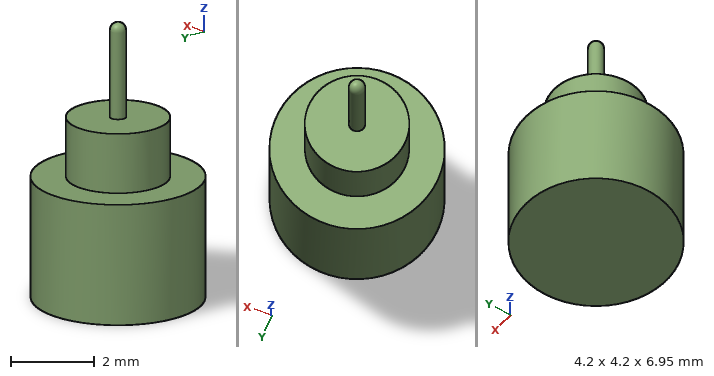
import cadquery as cq

total_height = 6.95
base_diameter = 4.2
base_height = 3.05
neck_diameter = 2.5
neck_height = 1.5
pin_diameter = 0.395

neck_top = base_height + neck_height
pin_radius = pin_diameter / 2
pin_straight_top = total_height - pin_radius


def cylinder(diameter, bottom, top):
    """Upright cylinder on the Z axis between two heights."""
    return cq.Workplane("XY").workplane(offset=bottom).circle(diameter / 2).extrude(top - bottom)


base = cylinder(base_diameter, 0, base_height)
neck = cylinder(neck_diameter, base_height, neck_top)

pin = cylinder(pin_diameter, neck_top, pin_straight_top)
pin_tip = cq.Workplane("XY").sphere(pin_radius).translate((0, 0, pin_straight_top))

result = base.union(neck).union(pin.union(pin_tip))